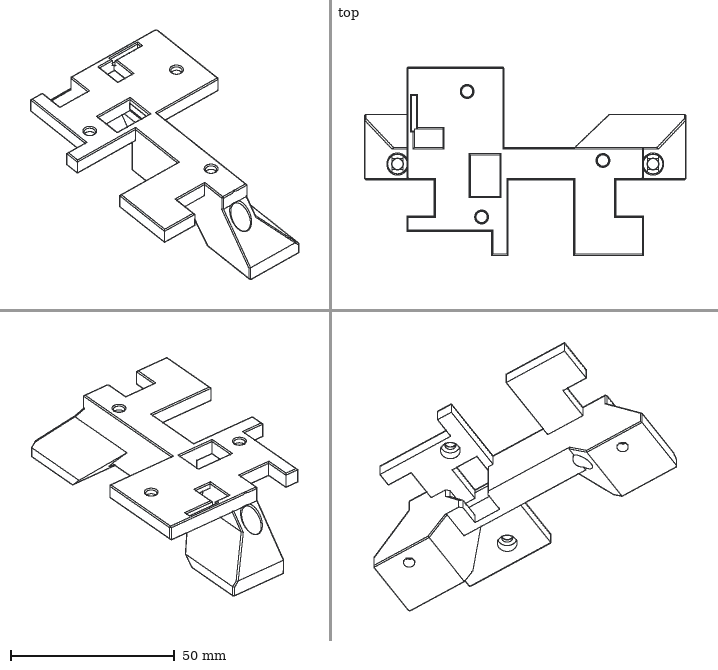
import cadquery as cq


LENGTH = 98.0
HEIGHT = 25.0
PLATE_THICKNESS = 4.9
PLATE_BOTTOM = HEIGHT - PLATE_THICKNESS
EDGE_CHAMFER = 0.4

PLATE_HALF_LENGTH = 36.2
PLATE_BACK = 34.4
PLATE_FRONT = -23.1
BACK_BLOCK_RIGHT = -6.5
NOTCH_LEFT = -27.8
NOTCH_RIGHT = 27.6
NOTCH_FRONT = -11.1
LEFT_ARM_FRONT = -15.8
PRONG_LEFT = -10.3
PRONG_RIGHT = -5.2
RIGHT_LEG_LEFT = 14.8

HALF_LENGTH = LENGTH / 2
BRIDGE_DEPTH = 9.8
BRIDGE_BOTTOM = 7.1
FOOT_SIDE_HEIGHT = 4.9
FOOT_INNER = 28.8
BRIDGE_BOTTOM_HALF = 22.2
OUTER_SLOPE_TOP_HALF = PLATE_HALF_LENGTH
SLOPE_RUN_PER_RISE = (HALF_LENGTH - OUTER_SLOPE_TOP_HALF) / (PLATE_BOTTOM - FOOT_SIDE_HEIGHT)
INNER_RUN_PER_RISE = (FOOT_INNER - BRIDGE_BOTTOM_HALF) / BRIDGE_BOTTOM
BRIDGE_OVERLAP = 2.0
BRIDGE_TOP = PLATE_BOTTOM + BRIDGE_OVERLAP

FLARE_BACK = 20.0
FLARE_TOP = 14.8
FLARE_BACK_HEIGHT = 3.3
FLARE_RUN_PER_RISE = (FLARE_BACK - BRIDGE_DEPTH) / (FLARE_TOP - FLARE_BACK_HEIGHT)

PLATE_HOLE_DIAMETER = 3.4
HEAD_DIAMETER = 6.0
COUNTERBORE_SKIN = 1.8
COUNTERBORE_TOP = HEIGHT - COUNTERBORE_SKIN
PLATE_HOLES = [(-17.7, 26.95), (23.7, 5.9), (-13.3, -11.4)]
SCREW_X = 39.0
SCREW_Y = 4.8
SCREW_DIAMETER = 3.4
SCREW_SEAT = 4.9
BRIDGING_STEP = 0.3

WINDOW_LEFT = -16.8
WINDOW_RIGHT = -7.7
WINDOW_FRONT = -5.1
WINDOW_BACK = 7.5
PASSAGE_WIDE_LEFT = -21.6
PASSAGE_NARROW_TOP = 11.1
PASSAGE_WIDE_BOTTOM = 17.0
PASSAGE_CHAMFER = 1.0

POCKET_LEFT = -33.8
POCKET_RIGHT = -25.2
POCKET_FRONT = BRIDGE_DEPTH
POCKET_BACK = 15.5
SLOT_LEFT = -34.7
SLOT_RIGHT = -33.2
SLOT_BACK = 25.7
SLOT_FRONT = 14.9
SLOT_DEPTH = 2.45

CHANNEL_SKIN = 2.0
CHANNEL_TOP = HEIGHT - CHANNEL_SKIN


def block(x0, x1, y0, y1, z0, z1):
    """Box between opposite corners."""
    return cq.Workplane("XY").box(x1 - x0, y1 - y0, z1 - z0, centered=False).translate((x0, y0, z0))


def extrude_along_y(points, y0, y1):
    """Prism of an X-Z outline between two Y positions."""
    return cq.Workplane("XZ", origin=(0, y0, 0)).polyline(points).close().extrude(y0 - y1)


def outer_slope_x(z):
    """Distance from the middle to the outer slope at height z."""
    return HALF_LENGTH - (z - FOOT_SIDE_HEIGHT) * SLOPE_RUN_PER_RISE


def inner_slope_x(z):
    """Distance from the middle to the inner slope of a foot at height z."""
    return FOOT_INNER - z * INNER_RUN_PER_RISE


def make_plate():
    """Top plate with its window, L-shaped opening and chamfered edges."""
    outline = [
        (-PLATE_HALF_LENGTH, PLATE_BACK),
        (BACK_BLOCK_RIGHT, PLATE_BACK),
        (BACK_BLOCK_RIGHT, BRIDGE_DEPTH),
        (PLATE_HALF_LENGTH, BRIDGE_DEPTH),
        (PLATE_HALF_LENGTH, 0),
        (NOTCH_RIGHT, 0),
        (NOTCH_RIGHT, NOTCH_FRONT),
        (PLATE_HALF_LENGTH, NOTCH_FRONT),
        (PLATE_HALF_LENGTH, PLATE_FRONT),
        (RIGHT_LEG_LEFT, PLATE_FRONT),
        (RIGHT_LEG_LEFT, 0),
        (PRONG_RIGHT, 0),
        (PRONG_RIGHT, PLATE_FRONT),
        (PRONG_LEFT, PLATE_FRONT),
        (PRONG_LEFT, LEFT_ARM_FRONT),
        (-PLATE_HALF_LENGTH, LEFT_ARM_FRONT),
        (-PLATE_HALF_LENGTH, NOTCH_FRONT),
        (NOTCH_LEFT, NOTCH_FRONT),
        (NOTCH_LEFT, 0),
        (-PLATE_HALF_LENGTH, 0),
    ]
    plate = cq.Workplane("XY", origin=(0, 0, PLATE_BOTTOM)).polyline(outline).close().extrude(PLATE_THICKNESS)

    corners = [
        (-PLATE_HALF_LENGTH, PLATE_BACK),
        (BACK_BLOCK_RIGHT, PLATE_BACK),
        (-PLATE_HALF_LENGTH, 0),
        (PLATE_HALF_LENGTH, 0),
    ]
    for x, y in corners:
        plate = plate.edges(cq.selectors.NearestToPointSelector((x, y, HEIGHT - PLATE_THICKNESS / 2)))
        plate = plate.chamfer(EDGE_CHAMFER)

    back_block_middle_x = (BACK_BLOCK_RIGHT - PLATE_HALF_LENGTH) / 2
    plate = plate.edges(cq.selectors.NearestToPointSelector((back_block_middle_x, PLATE_BACK, PLATE_BOTTOM)))
    plate = plate.chamfer(EDGE_CHAMFER)

    plate = plate.cut(block(WINDOW_LEFT, WINDOW_RIGHT, WINDOW_FRONT, WINDOW_BACK, PLATE_BOTTOM, HEIGHT))
    plate = plate.cut(block(POCKET_LEFT, POCKET_RIGHT, POCKET_FRONT, POCKET_BACK, PLATE_BOTTOM, HEIGHT))
    plate = plate.cut(block(SLOT_LEFT, SLOT_RIGHT, SLOT_FRONT, SLOT_BACK, HEIGHT - SLOT_DEPTH, HEIGHT))
    holes = cq.Workplane("XY", origin=(0, 0, PLATE_BOTTOM)).pushPoints(PLATE_HOLES)
    plate = plate.cut(holes.circle(PLATE_HOLE_DIAMETER / 2).extrude(PLATE_THICKNESS))

    return plate.faces(">Z").edges().chamfer(EDGE_CHAMFER)


def chamfer_nearest(body, points):
    """Chamfer the edges whose middles are nearest to the given points, mirrored to both sides."""
    picked = []
    for side in (-1, 1):
        for x, y, z in points:
            nearest = cq.selectors.NearestToPointSelector((side * x, y, z))
            picked += body.edges(nearest).vals()
    return body.newObject(picked).chamfer(EDGE_CHAMFER)


def make_bridge():
    """Bar across the full length with the front parts of both feet."""
    right_half = [
        (BRIDGE_BOTTOM_HALF, BRIDGE_BOTTOM),
        (FOOT_INNER, 0),
        (HALF_LENGTH, 0),
        (HALF_LENGTH, FOOT_SIDE_HEIGHT),
        (outer_slope_x(BRIDGE_TOP), BRIDGE_TOP),
    ]
    left_half = [(-x, z) for x, z in reversed(right_half)]
    bridge = extrude_along_y(right_half + left_half, 0, BRIDGE_DEPTH)

    slope_z = (FOOT_SIDE_HEIGHT + BRIDGE_TOP) / 2
    slope_x = outer_slope_x(slope_z)
    return chamfer_nearest(
        bridge,
        [
            (HALF_LENGTH, 0, FOOT_SIDE_HEIGHT / 2),
            ((FOOT_INNER + HALF_LENGTH) / 2, 0, 0),
            ((FOOT_INNER + BRIDGE_BOTTOM_HALF) / 2, 0, BRIDGE_BOTTOM / 2),
            (slope_x, 0, slope_z),
            (slope_x, BRIDGE_DEPTH, slope_z),
        ],
    )


def make_flares():
    """Rear parts of both feet, started inside the bridge so that they fill its chamfered back rims."""
    flare_start = BRIDGE_DEPTH / 2
    right_half = [
        (HALF_LENGTH, 0),
        (HALF_LENGTH, FOOT_SIDE_HEIGHT),
        (outer_slope_x(FLARE_TOP), FLARE_TOP),
    ]
    side_outline = [
        (flare_start, 0),
        (FLARE_BACK, 0),
        (FLARE_BACK, FLARE_BACK_HEIGHT),
        (BRIDGE_DEPTH, FLARE_TOP),
        (flare_start, FLARE_TOP),
    ]
    between_feet = [
        (-FOOT_INNER, 0),
        (-inner_slope_x(FLARE_TOP), FLARE_TOP),
        (inner_slope_x(FLARE_TOP), FLARE_TOP),
        (FOOT_INNER, 0),
    ]
    left_half = [(-x, z) for x, z in reversed(right_half)]
    flares = extrude_along_y(right_half + left_half, flare_start, FLARE_BACK)
    side_prism = cq.Workplane("YZ").polyline(side_outline).close().extrude(HALF_LENGTH, both=True)
    flares = flares.intersect(side_prism)

    slope_z = (FOOT_SIDE_HEIGHT + FLARE_TOP) / 2
    back_at_foot_side = FLARE_BACK - (FOOT_SIDE_HEIGHT - FLARE_BACK_HEIGHT) * FLARE_RUN_PER_RISE
    flares = chamfer_nearest(
        flares,
        [
            (HALF_LENGTH, FLARE_BACK, FLARE_BACK_HEIGHT / 2),
            (HALF_LENGTH, (FLARE_BACK + back_at_foot_side) / 2, (FOOT_SIDE_HEIGHT + FLARE_BACK_HEIGHT) / 2),
            (outer_slope_x(slope_z), (BRIDGE_DEPTH + back_at_foot_side) / 2, slope_z),
        ],
    )
    return flares.cut(extrude_along_y(between_feet, 0, FLARE_BACK))


def screw_cylinders(diameter, z0, z1):
    """Pair of cylinders on the screw axes between two heights."""
    centres = cq.Workplane("XY", origin=(0, 0, z0)).pushPoints([(-SCREW_X, SCREW_Y), (SCREW_X, SCREW_Y)])
    return centres.circle(diameter / 2).extrude(z1 - z0)


def cut_head_recesses(body):
    """Screw head recesses from the outer slopes down, with chamfered rims."""
    body = body.cut(screw_cylinders(HEAD_DIAMETER, SCREW_SEAT, HEIGHT))
    rim_z = FOOT_SIDE_HEIGHT + (HALF_LENGTH - SCREW_X) / SLOPE_RUN_PER_RISE
    return chamfer_nearest(body, [(SCREW_X, SCREW_Y, rim_z)])


def cut_screw_holes(body):
    """Screw holes whose seats step from a slit to a square to a circle."""
    body = body.cut(screw_cylinders(HEAD_DIAMETER, SCREW_SEAT, HEIGHT))
    body = body.cut(screw_cylinders(SCREW_DIAMETER, 0, SCREW_SEAT))
    radius = SCREW_DIAMETER / 2
    for x in (-SCREW_X, SCREW_X):
        slit = block(
            x - radius, x + radius,
            SCREW_Y - HEAD_DIAMETER / 2, SCREW_Y + HEAD_DIAMETER / 2,
            SCREW_SEAT - BRIDGING_STEP, SCREW_SEAT,
        )
        slit = slit.intersect(screw_cylinders(HEAD_DIAMETER, 0, HEIGHT))
        square = block(
            x - radius, x + radius, SCREW_Y - radius, SCREW_Y + radius,
            SCREW_SEAT - 2 * BRIDGING_STEP, SCREW_SEAT,
        )
        body = body.cut(slit).cut(square)
    return body


def cut_passage(body):
    """Passage in the front of the bridge, open to the bottom and to the window."""
    outline = [
        (WINDOW_RIGHT, BRIDGE_BOTTOM),
        (WINDOW_RIGHT, PLATE_BOTTOM),
        (PASSAGE_WIDE_LEFT, PLATE_BOTTOM),
        (PASSAGE_WIDE_LEFT, PASSAGE_WIDE_BOTTOM),
        (WINDOW_LEFT, PASSAGE_NARROW_TOP),
        (WINDOW_LEFT, BRIDGE_BOTTOM),
    ]
    passage = extrude_along_y(outline, 0, WINDOW_BACK)

    mouth = cq.Workplane("XZ").polyline(outline).close().offset2D(PASSAGE_CHAMFER, "intersection")
    mouth = mouth.extrude(-PASSAGE_CHAMFER, taper=45)
    below_plate = block(-HALF_LENGTH, HALF_LENGTH, 0, BRIDGE_DEPTH, 0, PLATE_BOTTOM)
    body = body.cut(passage).cut(mouth.intersect(below_plate))

    return body.cut(
        block(
            PASSAGE_WIDE_LEFT, WINDOW_RIGHT, WINDOW_BACK, BRIDGE_DEPTH, PASSAGE_WIDE_BOTTOM, PLATE_BOTTOM
        )
    )


def cut_channel(body):
    """Channel under the plate from the pocket to the passage behind the window."""
    body = body.cut(block(POCKET_LEFT, WINDOW_RIGHT, POCKET_FRONT, POCKET_BACK, PLATE_BOTTOM, CHANNEL_TOP))
    body = body.cut(
        block(PASSAGE_WIDE_LEFT, WINDOW_RIGHT, WINDOW_BACK, POCKET_FRONT, PLATE_BOTTOM, CHANNEL_TOP)
    )
    channel_middle_x = (POCKET_LEFT + WINDOW_RIGHT) / 2
    back_rim = cq.selectors.NearestToPointSelector((channel_middle_x, POCKET_BACK, PLATE_BOTTOM))

    return body.edges(back_rim).chamfer(EDGE_CHAMFER)


def cut_plate_counterbores(body):
    """Wide bores from below, which leave a thin skin around each plate hole."""
    centres = cq.Workplane("XY").pushPoints(PLATE_HOLES)
    return body.cut(centres.circle(HEAD_DIAMETER / 2).extrude(COUNTERBORE_TOP))


bridge_and_feet = cut_head_recesses(make_bridge().union(make_flares()))
bridge_and_feet = cut_passage(bridge_and_feet)
window_clearance = block(WINDOW_LEFT, WINDOW_RIGHT, 0, WINDOW_BACK, PLATE_BOTTOM, HEIGHT)
result = make_plate().union(bridge_and_feet.cut(window_clearance))
result = cut_channel(result)
result = cut_plate_counterbores(result)
result = cut_screw_holes(result)